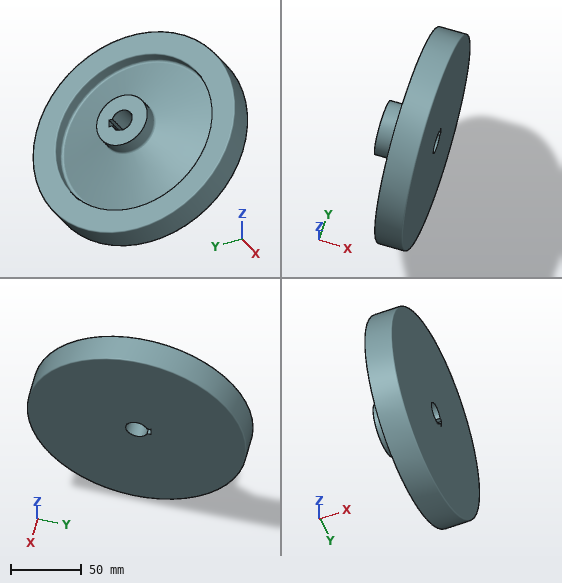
import cadquery as cq
import math

wheel_diameter = 160.0
overall_length = 40.0
rim_width = 21.1
recess_diameter = 123.2
hub_diameter = 40.0
bore_diameter = 16.0
keyway_width = 5.5
keyway_reach = 10.4
cone_start = 12.0
cone_angle = 22.5
edge_radius = 1.0
web_fillet_radius = 1.6

wheel_radius = wheel_diameter / 2
recess_radius = recess_diameter / 2
hub_radius = hub_diameter / 2
rim_face = overall_length - rim_width
cone_rise = (recess_radius - hub_radius) * math.tan(math.radians(cone_angle))
cone_end = cone_start + cone_rise


def circle_at(x, radius):
    """Selector for the circular edge at the given axial place and radius."""
    reach = radius + edge_radius / 2
    inner_reach = radius - edge_radius / 2
    half_slice = edge_radius / 2
    outer_box = cq.selectors.BoxSelector(
        (x - half_slice, -reach, -reach), (x + half_slice, reach, reach), boundingbox=True
    )
    inner_box = cq.selectors.BoxSelector(
        (x - half_slice, -inner_reach, -inner_reach),
        (x + half_slice, inner_reach, inner_reach),
        boundingbox=True,
    )
    return outer_box - inner_box


def wheel_body():
    """Hub, conical web and rim, revolved from one half section."""
    body = (
        cq.Workplane("XY")
        .moveTo(0, 0)
        .lineTo(0, hub_radius)
        .lineTo(cone_start, hub_radius)
        .lineTo(cone_end, recess_radius)
        .lineTo(rim_face, recess_radius)
        .lineTo(rim_face, wheel_radius)
        .lineTo(overall_length, wheel_radius)
        .lineTo(overall_length, 0)
        .close()
        .revolve(360, (0, 0, 0), (1, 0, 0))
    )
    for x, radius in ((cone_start, hub_radius), (cone_end, recess_radius)):
        body = body.edges(circle_at(x, radius)).fillet(web_fillet_radius)
    for x, radius in (
        (rim_face, recess_radius),
        (rim_face, wheel_radius),
        (overall_length, wheel_radius),
    ):
        body = body.edges(circle_at(x, radius)).fillet(edge_radius)
    return body


def keyed_bore():
    """Through bore with a keyway on the +Y side."""
    bore = cq.Workplane("YZ").circle(bore_diameter / 2).extrude(overall_length)
    keyway = (
        cq.Workplane("YZ")
        .center(keyway_reach / 2, 0)
        .rect(keyway_reach, keyway_width)
        .extrude(overall_length)
    )
    return bore.union(keyway)


result = wheel_body().cut(keyed_bore())